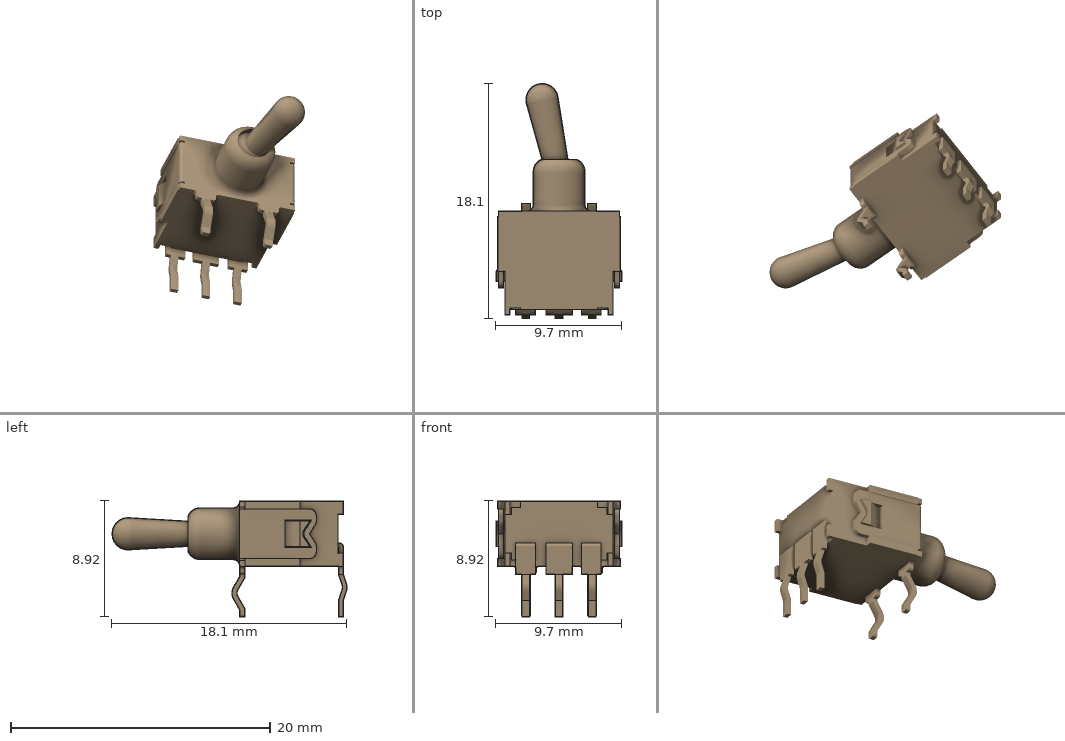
import cadquery as cq
import math


HALF_HEIGHT = 2.51
CORE_HALF_WIDTH = 4.175
FLANGE_HALF_WIDTH = 4.73
FLANGE_FRONT = -4.65
SHELL_FRONT = -7.48
BLOCK_FRONT = -7.6
CASE_FRONT = -8.0
POST_INNER_X = 3.79
POST_INNER_Z = 1.5
BLOCK_STEPS = [(CORE_HALF_WIDTH, POST_INNER_Z), (3.68, 2.01), (2.96, HALF_HEIGHT)]

SHEET = 0.4
BRACKET_HALF_WIDTH = 4.67
ARM_HALF_HEIGHT = 1.9
ARM_FRONT = -5.91
ARM_CORNER_RADIUS = 0.5
ARM_BEND_RADIUS = 0.23
BEND_RELIEF = 0.16
ARM_NOTCH_HALF_HEIGHT = 0.8
ARM_PRONG_RADIUS = 0.5
NOTCH_SLANT = math.radians(33)

HOOK_TIP_X = 4.85
HOOK_BACK = -3.49
HOOK_FRONT = -5.42
HOOK_HALF_HEIGHT = 0.99
HOOK_NOTCH_RADIUS = 0.5
WINDOW_SIDE_GAP = 0.06
WINDOW_FRONT_GAP = 0.12

BUSHING_RADIUS = 4.0 / 2
BUSHING_LENGTH = 4.0
BUSHING_OPENING_RADIUS = 2.65 / 2
BUSHING_NOSE_RADIUS = 1.0
BUSHING_ROOT_RADIUS = 0.5

BALL_RADIUS = 3.2 / 2
PIVOT_Y = 2.6
LEVER_TILT = 12.3
LEVER_TIP_RADIUS = 1.25
LEVER_TIP_Y = 9.84
LEVER_ROOT_RADIUS = 0.9

LEG_BOTTOM = -6.41
MOUNT_X = 2.54
MOUNT_WIDTH = 0.69
MOUNT_BUMP = 0.6
MOUNT_BUMP_ANGLE = 30.0
MOUNT_BUMP_TOP = -3.35
MOUNT_BUMP_BOTTOM = -5.81
MOUNT_END_RADIUS = 0.18
SHOULDER_X = 2.55
SHOULDER_WIDTH = 1.6
SHOULDER_BOTTOM = -3.12
SHOULDER_CORNER_RADIUS = 0.23
SHOULDER_ROOT_RADIUS = 0.19

TERMINAL_THICKNESS = 0.36
TERMINAL_WIDTH = 0.6
TERMINAL_BUMP = 0.28
TERMINAL_BUMP_ANGLE = 18.5
TERMINAL_BUMP_TOP = -3.16
TERMINAL_BUMP_BOTTOM = -5.1
PAD_TOP = -0.72
PAD_BOTTOM = -3.13
PAD_BEND_RADIUS = 0.29
TERMINALS = [(-2.585, 1.54, -2.57), (0.0, 2.04, 0.0), (2.485, 1.54, 2.57)]


def block(x_span, y_span, z_span):
    """Box between the given pairs of limits."""
    size = [abs(span[1] - span[0]) for span in (x_span, y_span, z_span)]
    middle = [(span[1] + span[0]) / 2 for span in (x_span, y_span, z_span)]
    return cq.Workplane("XY").box(*size).translate(tuple(middle))


def extrude_along_x(sketch_points, x_start, x_end):
    """Prism along X over an outline of (y, z) points."""
    outline = cq.Workplane("YZ", origin=(x_start, 0, 0)).polyline(sketch_points).close()
    return outline.extrude(x_end - x_start)


def fillet_near(solid, y, z, radius, x_start, x_end):
    """Round the edge along X that passes through (y, z)."""
    edge = cq.selectors.NearestToPointSelector(((x_start + x_end) / 2, y, z))
    return solid.edges(edge).fillet(radius)


def bent_leg(x_centre, width, face_y, thickness, outward, z_span, bump_span, bump, angle):
    """Flat leg whose face at face_y bulges by bump toward outward (+1 or -1) along Y."""
    z_top, z_bottom = z_span
    bump_top, bump_bottom = bump_span
    slope = math.radians(angle)
    half = thickness / 2
    half_bump = (bump_top - bump_bottom) / 2
    bump_middle = (bump_top + bump_bottom) / 2
    centre_y = face_y - outward * half
    peak = half_bump * math.tan(slope)
    peak_radius = (peak - bump) / (1 / math.cos(slope) - 1)

    def edge(side):
        """Five points of the leg's edge, side +1 being the bulging face."""
        y_flat = centre_y + outward * side * half
        y_peak = centre_y + outward * (peak + side * half / math.cos(slope))
        shift = side * half * math.tan(slope / 2)
        return [
            (y_flat, z_top),
            (y_flat, bump_top + shift),
            (y_peak, bump_middle),
            (y_flat, bump_bottom - shift),
            (y_flat, z_bottom),
        ]

    outer = edge(1)
    inner = edge(-1)
    x_span = (x_centre - width / 2, x_centre + width / 2)
    leg = extrude_along_x(outer + inner[::-1], *x_span)
    leg = fillet_near(leg, *outer[2], peak_radius + half, *x_span)
    leg = fillet_near(leg, *inner[2], peak_radius - half, *x_span)
    return leg


def make_case():
    """Plastic case with side flanges, stepped terminal block and four corner posts."""
    core_x = (-CORE_HALF_WIDTH, CORE_HALF_WIDTH)
    case = block(core_x, (-SHEET, SHELL_FRONT), (-HALF_HEIGHT, HALF_HEIGHT))
    for half_width, half_height in BLOCK_STEPS:
        step = block((-half_width, half_width), (-SHEET, BLOCK_FRONT), (-half_height, half_height))
        case = case.union(step)
    for up in (1, -1):
        flange = block(
            (-FLANGE_HALF_WIDTH, FLANGE_HALF_WIDTH),
            (-SHEET, FLANGE_FRONT),
            (up * ARM_HALF_HEIGHT, up * HALF_HEIGHT),
        )
        case = case.union(flange)
        for side in (1, -1):
            post = block(
                (side * POST_INNER_X, side * CORE_HALF_WIDTH),
                (SHELL_FRONT, CASE_FRONT),
                (up * POST_INNER_Z, up * HALF_HEIGHT),
            )
            case = case.union(post)
    return case


def hook_prism(x_start, x_end, side_gap, front_gap):
    """Prism along X with the hook's V-notched front, enlarged by the gaps."""
    half_height = HOOK_HALF_HEIGHT + side_gap
    front = HOOK_FRONT - front_gap
    notch = front + half_height * math.tan(NOTCH_SLANT)
    outline = [
        (HOOK_BACK, half_height),
        (front, half_height),
        (notch, 0),
        (front, -half_height),
        (HOOK_BACK, -half_height),
    ]
    return fillet_near(extrude_along_x(outline, x_start, x_end), notch, 0, HOOK_NOTCH_RADIUS, x_start, x_end)


def make_hook():
    """Snap hook on the +X side, with a ramp rising toward the front."""
    hook = hook_prism(CORE_HALF_WIDTH, HOOK_TIP_X, 0, 0)
    ramp_cut = (
        cq.Workplane("XY", origin=(0, 0, -HALF_HEIGHT))
        .moveTo(CORE_HALF_WIDTH, HOOK_BACK)
        .lineTo(HOOK_TIP_X, FLANGE_FRONT)
        .lineTo(HOOK_TIP_X, HOOK_BACK)
        .close()
        .extrude(2 * HALF_HEIGHT)
    )
    return hook.cut(ramp_cut)


def make_arm():
    """Bracket arm on the +X side, with its notched end and the hook window."""
    notch_tip = ARM_FRONT + ARM_NOTCH_HALF_HEIGHT * math.tan(NOTCH_SLANT)
    outline = [
        (0, ARM_HALF_HEIGHT),
        (ARM_FRONT, ARM_HALF_HEIGHT),
        (ARM_FRONT, ARM_NOTCH_HALF_HEIGHT),
        (notch_tip, 0),
        (ARM_FRONT, -ARM_NOTCH_HALF_HEIGHT),
        (ARM_FRONT, -ARM_HALF_HEIGHT),
        (0, -ARM_HALF_HEIGHT),
    ]
    inner_x = BRACKET_HALF_WIDTH - SHEET
    arm = extrude_along_x(outline, inner_x, BRACKET_HALF_WIDTH)
    for z, radius in ((ARM_HALF_HEIGHT, ARM_CORNER_RADIUS), (ARM_NOTCH_HALF_HEIGHT, ARM_PRONG_RADIUS)):
        for up in (1, -1):
            arm = fillet_near(arm, ARM_FRONT, up * z, radius, inner_x, BRACKET_HALF_WIDTH)
    arm = arm.edges("|Z and >Y and >X").fillet(ARM_BEND_RADIUS)
    window = hook_prism(inner_x, BRACKET_HALF_WIDTH, WINDOW_SIDE_GAP, WINDOW_FRONT_GAP)
    return arm.cut(window)


def add_shoulder(plate, side):
    """Join a wide leg shoulder, with rounded corners and roots, to the plate's lower edge."""
    left = side * SHOULDER_X - SHOULDER_WIDTH / 2
    right = side * SHOULDER_X + SHOULDER_WIDTH / 2
    shoulder = block((left, right), (-SHEET, 0), (0, SHOULDER_BOTTOM))
    shoulder = shoulder.faces("<Z").edges("|Y").fillet(SHOULDER_CORNER_RADIUS)
    plate = plate.union(shoulder)
    for x in (left, right):
        root = cq.selectors.NearestToPointSelector((x, -SHEET / 2, -HALF_HEIGHT))
        plate = plate.edges(root).fillet(SHOULDER_ROOT_RADIUS)
    return plate


def make_bracket():
    """Back plate with side arms, and strips set off from the arms by bend reliefs."""
    inner_x = BRACKET_HALF_WIDTH - SHEET
    bracket = block((-inner_x, inner_x), (-SHEET, 0), (-HALF_HEIGHT, HALF_HEIGHT))
    for up in (1, -1):
        strip = block(
            (-BRACKET_HALF_WIDTH, BRACKET_HALF_WIDTH),
            (-SHEET, 0),
            (up * (ARM_HALF_HEIGHT + BEND_RELIEF), up * HALF_HEIGHT),
        )
        bracket = bracket.union(strip)
    for side in (1, -1):
        bracket = add_shoulder(bracket, side)
    arm = make_arm()
    return bracket.union(arm).union(arm.mirror("YZ"))


def make_mounting_leg(side):
    """Narrow bent leg below a shoulder of the back plate."""
    leg = bent_leg(
        side * MOUNT_X, MOUNT_WIDTH, 0, SHEET, 1,
        (-HALF_HEIGHT, LEG_BOTTOM), (MOUNT_BUMP_TOP, MOUNT_BUMP_BOTTOM),
        MOUNT_BUMP, MOUNT_BUMP_ANGLE,
    )
    return leg.faces("<Z").edges("|Y").fillet(MOUNT_END_RADIUS)


def make_terminal(pad_x, pad_width, leg_x):
    """Terminal that leaves the block, bends down as a wide pad and ends in a bent leg."""
    pad_x_span = (pad_x - pad_width / 2, pad_x + pad_width / 2)
    pad_back = CASE_FRONT + TERMINAL_THICKNESS
    pad = block(pad_x_span, (CASE_FRONT, pad_back), (PAD_BOTTOM, PAD_TOP))
    root = block(pad_x_span, (CASE_FRONT, SHELL_FRONT), (PAD_TOP - TERMINAL_THICKNESS, PAD_TOP))
    pad = pad.union(root).edges("|X and <Y and >Z").fillet(PAD_BEND_RADIUS)
    leg = bent_leg(
        leg_x, TERMINAL_WIDTH, CASE_FRONT, TERMINAL_THICKNESS, -1,
        (PAD_BOTTOM + TERMINAL_THICKNESS, LEG_BOTTOM), (TERMINAL_BUMP_TOP, TERMINAL_BUMP_BOTTOM),
        TERMINAL_BUMP, TERMINAL_BUMP_ANGLE,
    )
    return pad.union(leg)


def make_bushing():
    """Bushing turned about Y, with a flared root and a rounded nose."""
    nose_start = BUSHING_LENGTH - math.sqrt(
        BUSHING_NOSE_RADIUS**2 - (BUSHING_OPENING_RADIUS - BUSHING_RADIUS + BUSHING_NOSE_RADIUS) ** 2
    )
    nose_centre_x = BUSHING_RADIUS - BUSHING_NOSE_RADIUS
    nose_mid = math.radians(35)
    root_mid = BUSHING_ROOT_RADIUS * (1 - math.sqrt(0.5))
    profile = (
        cq.Workplane("XY")
        .moveTo(0, -SHEET)
        .lineTo(BUSHING_RADIUS + BUSHING_ROOT_RADIUS, -SHEET)
        .lineTo(BUSHING_RADIUS + BUSHING_ROOT_RADIUS, 0)
        .threePointArc((BUSHING_RADIUS + root_mid, root_mid), (BUSHING_RADIUS, BUSHING_ROOT_RADIUS))
        .lineTo(BUSHING_RADIUS, nose_start)
        .threePointArc(
            (
                nose_centre_x + BUSHING_NOSE_RADIUS * math.cos(nose_mid),
                nose_start + BUSHING_NOSE_RADIUS * math.sin(nose_mid),
            ),
            (BUSHING_OPENING_RADIUS, BUSHING_LENGTH),
        )
        .lineTo(0, BUSHING_LENGTH)
        .close()
    )
    return profile.revolve(360, (0, 0), (0, 1))


def make_lever_seat():
    """Ball socket and round opening that hold the lever in the bushing."""
    socket = cq.Workplane("XY").sphere(BALL_RADIUS).translate((0, PIVOT_Y, 0))
    opening = (
        cq.Workplane("XZ", origin=(0, PIVOT_Y, 0))
        .circle(BUSHING_OPENING_RADIUS)
        .extrude(PIVOT_Y - BUSHING_LENGTH)
    )
    return socket.union(opening)


def make_housing():
    """Case, bracket, bushing, legs and terminals as one body."""
    hook = make_hook()
    housing = make_case().union(hook).union(hook.mirror("YZ"))
    housing = housing.union(make_bracket()).union(make_bushing())
    for side in (1, -1):
        housing = housing.union(make_mounting_leg(side))
    for pad_x, pad_width, leg_x in TERMINALS:
        housing = housing.union(make_terminal(pad_x, pad_width, leg_x))
    return housing.cut(make_lever_seat())


def make_lever():
    """Tapered lever with a round tip and a pivot ball, tilted toward -X."""
    tilt = math.radians(LEVER_TILT)
    tip_distance = (LEVER_TIP_Y - LEVER_TIP_RADIUS - PIVOT_Y) / math.cos(tilt)
    stem = (
        cq.Workplane("XY")
        .lineTo(LEVER_ROOT_RADIUS, 0)
        .lineTo(LEVER_TIP_RADIUS, tip_distance)
        .threePointArc(
            (LEVER_TIP_RADIUS * math.sqrt(0.5), tip_distance + LEVER_TIP_RADIUS * math.sqrt(0.5)),
            (0, tip_distance + LEVER_TIP_RADIUS),
        )
        .close()
        .revolve(360, (0, 0), (0, 1))
        .rotate((0, 0, 0), (0, 0, 1), LEVER_TILT)
    )
    ball = cq.Workplane("XY").sphere(BALL_RADIUS)
    return ball.union(stem).translate((0, PIVOT_Y, 0))


housing = make_housing()
lever = make_lever()
result = cq.Compound.makeCompound([housing.solids().val(), lever.solids().val()])